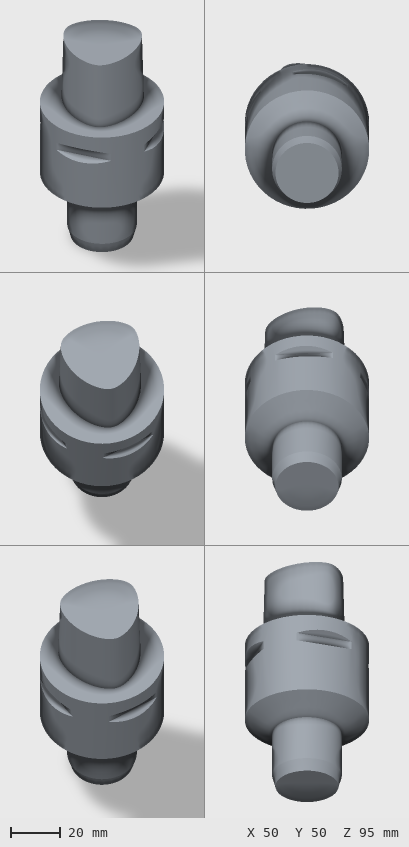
import cadquery as cq
import math

total_height = 95.0
body_top = 65.1
body_bottom = 30.6
shank_top = 24.0
lead_in_height = 5.0

body_radius = 50.0 / 2
shank_radius = 28.0 / 2
lead_in_angle = 15.0
tip_radius = shank_radius - lead_in_height * math.tan(math.radians(lead_in_angle))

polygon_length = total_height - body_top
polygon_base_radius = 16.5
polygon_taper = 1 / 20
polygon_top_radius = polygon_base_radius - polygon_taper * polygon_length / 2
lobe_height = 1.2
curve_points = 72

notch_count = 4
notch_first_angle = 45.0
notch_mid_height = 55.2
notch_floor_height = 3.4
notch_depth = 2.85
notch_flank_angle = 30.0
notch_floor_distance = body_radius - notch_depth
notch_reach = 0.95


def turned_body():
    """Shank, cone and body as one revolved profile in the XZ plane."""
    profile = [
        (0, 0),
        (tip_radius, 0),
        (shank_radius, lead_in_height),
        (shank_radius, shank_top),
        (body_radius, body_bottom),
        (body_radius, body_top),
        (0, body_top),
    ]
    return cq.Workplane("XZ").polyline(profile).close().revolve(360, (0, 0), (0, 1))


def lobed_point(mean_radius, angle):
    """Point on a constant-width curve with three lobes; angle 0 is at -Y, a lobe is at +Y."""
    x = mean_radius * math.sin(angle)
    x += lobe_height * (2 * math.sin(2 * angle) + math.sin(4 * angle))
    y = -mean_radius * math.cos(angle)
    y += lobe_height * (2 * math.cos(2 * angle) - math.cos(4 * angle))
    return x, y


def lobed_wire(mean_radius, height):
    """Closed smooth wire through evenly spaced points of the lobed curve."""
    points = []
    for step in range(curve_points):
        x, y = lobed_point(mean_radius, 2 * math.pi * step / curve_points)
        points.append(cq.Vector(x, y, height))
    return cq.Wire.assembleEdges([cq.Edge.makeSpline(points, periodic=True)])


def tapered_polygon():
    base = lobed_wire(polygon_base_radius, body_top)
    top = lobed_wire(polygon_top_radius, total_height)
    return cq.Workplane(cq.Solid.makeLoft([base, top], True))


def notch_cutter(direction):
    """Straight notch with a flat floor and sloped flanks, facing the given angle."""
    outer_distance = body_radius + notch_reach
    flank_rise = (outer_distance - notch_floor_distance) * math.tan(math.radians(notch_flank_angle))
    floor_half = notch_floor_height / 2
    outer_half = floor_half + flank_rise
    section = [
        (notch_floor_distance, notch_mid_height - floor_half),
        (outer_distance, notch_mid_height - outer_half),
        (outer_distance, notch_mid_height + outer_half),
        (notch_floor_distance, notch_mid_height + floor_half),
    ]
    cutter = cq.Workplane("XZ").polyline(section).close().extrude(body_radius, both=True)
    return cutter.rotate((0, 0, 0), (0, 0, 1), direction)


result = turned_body().union(tapered_polygon())
for index in range(notch_count):
    result = result.cut(notch_cutter(notch_first_angle + index * 360 / notch_count))